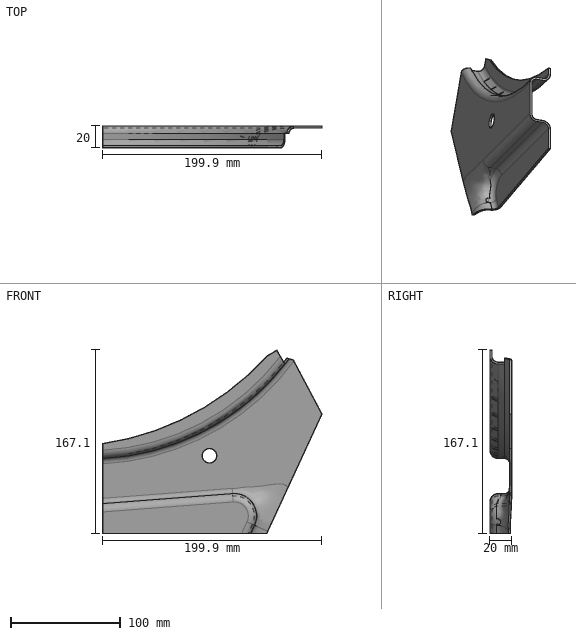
import cadquery as cq
import math

thickness = 2.0
depth = 20.0
web_front = depth - thickness
bend_outer = 7.5
bend_inner = 4.8
margin = 20.0

bottom_right_x = 149.5
side_corner = (199.9, 109.0)
web_top_corner = (173.7, 158.3)
blend_crest = (168.0, 160.0)
flange_notch = (165.0, 157.0)
flange_peak = (158.7, 167.1)
flange_end_foot = (168.3, 150.7)
edge_bend_x = 150.0

edge_center = (-36.5, 331.2)
edge_radius = 251.9
bend_center = (-11.2, 293.5)
upper_wall_radius = 225.3

wall_left_z = 27.4
wall_rise = 0.077
flank_bottom_x = 135.0
corner_radius = 20.4
corner_blend_height = 12.0
flank_blend_width = 28.0
flare_angle = math.radians(31)
flare_width = 34.0

hole_center = (97.4, 71.0)
hole_diameter = 13.0

rise_angle = math.atan(wall_rise)
upper_normal = math.pi / 2 + rise_angle
side_angle = math.atan2(side_corner[1], side_corner[0] - bottom_right_x)
flank_normal = side_angle - math.pi / 2
wall_direction = cq.Vector(math.cos(rise_angle), 0, math.sin(rise_angle))
flank_direction = cq.Vector(math.cos(side_angle), 0, math.sin(side_angle))


def outward(angle):
    """Unit vector in the XZ plane at an angle from X."""
    return cq.Vector(math.cos(angle), 0, math.sin(angle))


def corner_center():
    """Center of the rounded pocket corner, tangent to both front walls."""
    upper_c = wall_left_z * math.cos(rise_angle) - corner_radius
    flank_c = flank_bottom_x * math.cos(flank_normal) - corner_radius
    up = outward(upper_normal)
    side = outward(flank_normal)
    determinant = up.x * side.z - up.z * side.x
    x = (upper_c * side.z - flank_c * up.z) / determinant
    z = (up.x * flank_c - side.x * upper_c) / determinant
    return cq.Vector(x, 0, z)


corner = corner_center()


def prism(sketch, start, end):
    """Extrude an XZ outline between two Y positions."""
    return sketch.extrude(start - end).translate((0, start, 0))


def edge_arc_point(x):
    return (x, edge_center[1] - math.sqrt(edge_radius**2 - (x - edge_center[0])**2))


def blank():
    """Flat outline of the whole part through its full depth."""
    outline = (
        cq.Workplane("XZ")
        .polyline([(0, 0), (bottom_right_x, 0), side_corner, web_top_corner,
                   blend_crest, flange_notch, flange_peak, edge_arc_point(edge_bend_x)])
        .threePointArc(edge_arc_point(edge_bend_x / 2), edge_arc_point(0))
        .close()
    )
    return prism(outline, 0, depth)


def upper_step(inset):
    """Revolved forming solid of the curved flange, its wall and both bends."""
    inner_radius = upper_wall_radius - 2 * margin
    wall = upper_wall_radius - inset
    convex = bend_outer - inset
    concave = bend_inner + inset
    web = web_front + inset
    diagonal = math.sqrt(0.5)
    profile = (
        cq.Workplane("XY")
        .moveTo(inner_radius, inset)
        .lineTo(wall - convex, inset)
        .threePointArc((wall - convex * (1 - diagonal), inset + convex * (1 - diagonal)),
                       (wall, inset + convex))
        .lineTo(wall, web - concave)
        .threePointArc((wall + concave * (1 - diagonal), web - concave * (1 - diagonal)),
                       (wall + concave, web))
        .lineTo(wall + concave, depth + margin)
        .lineTo(inner_radius, depth + margin)
        .close()
    )
    ring = profile.revolve(360, (0, 0, 0), (0, 1, 0))
    return ring.translate((bend_center[0], 0, bend_center[1]))


def pocket_block(inset):
    """Raised lower flange with rounded plan corner and rounded front rim."""
    radius = corner_radius - inset
    top_end = corner + outward(upper_normal) * radius
    middle = corner + outward((upper_normal + flank_normal) / 2) * radius
    flank_start = corner + outward(flank_normal) * radius
    top_start = top_end - wall_direction * (top_end.x + margin)
    flank_end = flank_start - flank_direction * (flank_start.z + margin)
    outline = (
        cq.Workplane("XZ")
        .moveTo(-margin, -margin)
        .lineTo(top_start.x, top_start.z)
        .lineTo(top_end.x, top_end.z)
        .threePointArc((middle.x, middle.z), (flank_start.x, flank_start.z))
        .lineTo(flank_end.x, flank_end.z)
        .close()
    )
    block = prism(outline, inset, depth + margin)
    return block.faces("<Y").edges().fillet(bend_outer - inset)


def blend_section(anchor, angle, width, height, inset):
    """Concave section that runs from the step wall out onto the web."""
    direction = outward(angle)
    wall = anchor - direction * inset
    web = web_front + inset

    def at(distance, y):
        point = wall + direction * distance
        return cq.Vector(point.x, y, point.z)

    root = bend_inner / 2
    inner_back = at(-root, web + root)
    inner_front = at(-root, web - height - inset)
    wall_point = at(0, web - height - inset)
    web_point = at(width + inset, web)
    outer_back = at(width + inset, web + root)
    curve = cq.Edge.makeBezier([wall_point, at(0, web), web_point])
    return cq.Wire.assembleEdges([
        cq.Edge.makeLine(inner_back, inner_front),
        cq.Edge.makeLine(inner_front, wall_point),
        curve,
        cq.Edge.makeLine(web_point, outer_back),
        cq.Edge.makeLine(outer_back, inner_back),
    ])


def upper_blend(inset):
    """Constant concave bend along the upper pocket wall."""
    end = corner + outward(upper_normal) * corner_radius
    start = end - wall_direction * (end.x + margin)
    sections = [
        blend_section(point, upper_normal, bend_inner, bend_inner, inset)
        for point in (start, end)
    ]
    return cq.Workplane(cq.Solid.makeLoft(sections, True))


def flared_blend(inset):
    """Blend fanning around the pocket corner toward the side edge."""
    fan_steps = 4
    sections = []
    for step in range(fan_steps):
        share = step / fan_steps
        angle = upper_normal + (flare_angle - upper_normal) * share
        reach = (corner_radius + bend_inner) / math.cos(angle - upper_normal)
        height = bend_inner + (corner_blend_height - bend_inner) * share
        anchor = corner + outward(angle) * corner_radius
        sections.append(blend_section(anchor, angle, reach - corner_radius, height, inset))
    for share in (0, 1 / 3, 2 / 3, 1):
        angle = flare_angle + (flank_normal - flare_angle) * share
        width = flare_width + (flank_blend_width - flare_width) * share
        anchor = corner + outward(angle) * corner_radius
        sections.append(blend_section(anchor, angle, width, corner_blend_height, inset))
    fan = cq.Workplane(cq.Solid.makeLoft(sections, False))
    flank_end = anchor - flank_direction * (anchor.z + margin)
    end_section = blend_section(flank_end, flank_normal, flank_blend_width,
                                corner_blend_height, inset)
    flank = cq.Workplane(cq.Solid.makeLoft([sections[-1], end_section], True))
    return fan.union(flank)


def formed_volume(inset):
    """Everything behind the sheet surface, inset from its front face."""
    web = cq.Workplane("XY").box(
        side_corner[0] + 2 * margin, depth, flange_peak[1] + 2 * margin, centered=False
    ).translate((-margin, web_front + inset, -margin))
    return (
        web.union(upper_step(inset))
        .union(pocket_block(inset))
        .union(upper_blend(inset))
        .union(flared_blend(inset))
    )


def flange_end_cut():
    """Clears the step wall and flange beyond the flange end line, ahead of the web bend."""
    outline = cq.Workplane("XZ").polyline(
        [flange_peak, flange_end_foot, (side_corner[0], flange_peak[1])]
    ).close()
    return prism(outline, 0, web_front - bend_inner)


hole = prism(cq.Workplane("XZ").center(*hole_center).circle(hole_diameter / 2), 0, depth)
sheet = formed_volume(0).cut(formed_volume(thickness))
result = sheet.intersect(blank()).cut(flange_end_cut()).cut(hole)